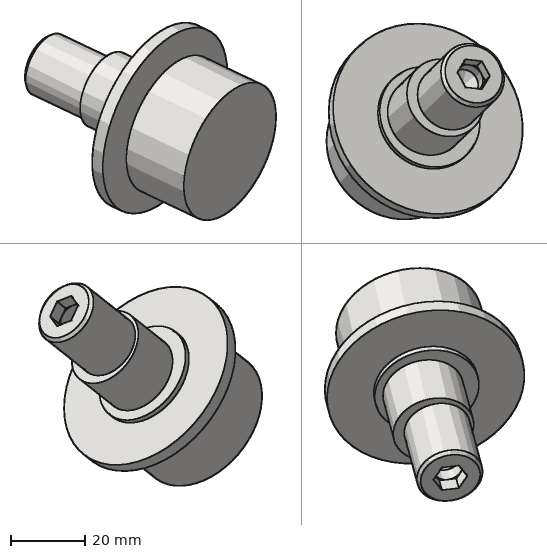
import cadquery as cq
import math

overall_length = 64.1

stud_diameter = 18.0
stud_length = 20.5
stud_chamfer_length = 1.0
stud_chamfer_height = 0.87

collar_diameter = 22.0
collar_length = 16.0
collar_offset_y = 1.0

washer_diameter = 28.5
washer_thickness = 1.6

flange_diameter = 54.0
flange_thickness = 3.7
roller_diameter = 40.0
flange_back_angle = 20.0

socket_across_flats = 8.0
socket_depth = 4.0
pilot_depth = 8.0
drill_point_angle = 120.0

collar_start = stud_length
washer_start = collar_start + collar_length
flange_start = washer_start + washer_thickness
flange_end = flange_start + flange_thickness
flange_radius = flange_diameter / 2
roller_radius = roller_diameter / 2
flange_back_length = (flange_radius - roller_radius) * math.tan(math.radians(flange_back_angle))
roller_start = flange_end + flange_back_length


def turned(profile):
    """Revolve closed (x, radius) points about the X axis."""
    return cq.Workplane("XY").polyline(profile).close().revolve(360, (0, 0, 0), (1, 0, 0))


def make_turned_body():
    """Stud, washer and flanged roller, all on the X axis."""
    stud_radius = stud_diameter / 2
    washer_radius = washer_diameter / 2
    return turned([
        (0, 0),
        (0, stud_radius - stud_chamfer_height),
        (stud_chamfer_length, stud_radius),
        (washer_start, stud_radius),
        (washer_start, washer_radius),
        (flange_start, washer_radius),
        (flange_start, flange_radius),
        (flange_end, flange_radius),
        (roller_start, roller_radius),
        (overall_length, roller_radius),
        (overall_length, 0),
    ])


def make_eccentric_collar():
    """Collar cylinder with its axis moved along +Y."""
    return (
        cq.Workplane("YZ", origin=(collar_start, 0, 0))
        .center(collar_offset_y, 0)
        .circle(collar_diameter / 2)
        .extrude(collar_length)
    )


def make_hex_socket():
    """Hexagonal recess with two corners along Y, over a pilot hole as wide as the flats."""
    across_corners = socket_across_flats / math.cos(math.radians(30))
    hexagon = cq.Workplane("YZ").polygon(6, across_corners).extrude(socket_depth)
    pilot_radius = socket_across_flats / 2
    cone_height = pilot_radius / math.tan(math.radians(drill_point_angle / 2))
    pilot_hole = turned([
        (0, 0),
        (0, pilot_radius),
        (pilot_depth, pilot_radius),
        (pilot_depth + cone_height, 0),
    ])
    return hexagon.union(pilot_hole)


result = make_turned_body().union(make_eccentric_collar()).cut(make_hex_socket())